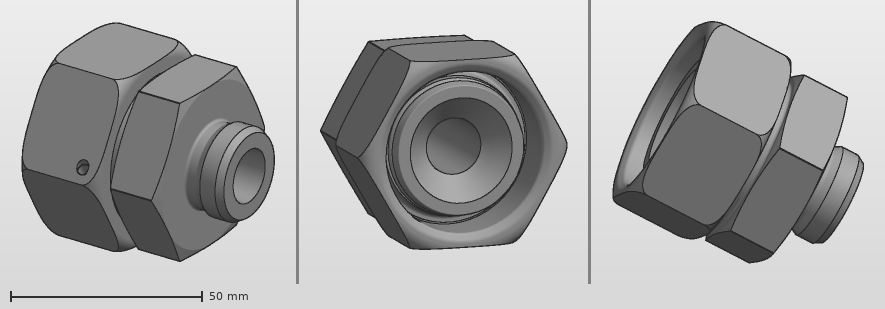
import cadquery as cq
import math


nut_across_corners = 57.75
nut_length = 24.5
nut_end_round = 4.0
mouth_chamfer_radius = 23.6
mouth_chamfer_angle = 60.0
mouth_outer_round = 2.0
mouth_inner_round = 1.2
thread_bore_radius = 43.0 / 2
rear_bore_radius = 42.15 / 2
rear_bore_start = 14.65

wire_hole_x = 19.45
wire_hole_mouth_diameter = 3.5
wire_hole_diameter = 3.2
wire_hole_tilt = 30.0

cone_tip = 4.15
cone_tip_radius = 17.25
cone_half_angle = 12.0
cone_tip_round = 0.3
bore_radius = 15.0 / 2
flare_radius = 14.0
flare_depth = 6.35
shoulder_round = 1.0

groove_start = 7.45
groove_width = 3.5
ring_section = 2.5
ring_outer_radius = 18.4

collar_start = 14.25
collar_radius = 41.95 / 2
collar_round = 0.8
hex_start = 27.15
hex_end = 41.95
hex_across_flats = 46.0
hex_corner_radius = 26.5
hex_chamfer_angle = 15.0

body_end = 54.0
stud_radius = 26.0 / 2
relief_round = 0.8
neck_radius = 23.7 / 2
stud_start = 47.15
stud_chamfer_start = 51.95
stud_chamfer_angle = 30.0

hex_half_angle = math.radians(30)


def slope(degrees):
    return math.tan(math.radians(degrees))


def turned(points, rounds):
    """Revolve an (x, radius) outline about X, rounding the listed corners."""
    outline = cq.Sketch().polygon(points + points[:1])
    for corner, radius in rounds:
        nearest = cq.selectors.NearestToPointSelector((*corner, 0))
        outline = outline.reset().vertices(nearest).fillet(radius)
    return cq.Workplane("XY").placeSketch(outline).revolve(360, (0, 0, 0), (1, 0, 0))


def hex_prism(start, length, across_corners):
    """Hexagonal bar along X with two corners on the Y axis."""
    return cq.Workplane("YZ", origin=(start, 0, 0)).polygon(6, across_corners).extrude(length)


def make_wire_hole():
    """Stepped hole that runs tangentially from a nut flat into the rear bore."""
    across_flats = nut_across_corners * math.cos(hex_half_angle)
    flat_normal = cq.Vector(0, -math.cos(hex_half_angle), math.sin(hex_half_angle))
    hole_angle = hex_half_angle + math.radians(wire_hole_tilt)
    direction = cq.Vector(0, math.cos(hole_angle), -math.sin(hole_angle))
    tangent_normal = cq.Vector(0, -math.sin(hole_angle), -math.cos(hole_angle))
    tangent_point = tangent_normal * rear_bore_radius
    depth = (tangent_point.dot(flat_normal) - across_flats / 2) / direction.dot(flat_normal)
    tangent_point = tangent_point + cq.Vector(wire_hole_x, 0, 0)
    opening = tangent_point - direction * depth
    lead = wire_hole_mouth_diameter
    mouth_depth = wire_hole_mouth_diameter / 2 * slope(wire_hole_tilt)
    bore = cq.Solid.makeCylinder(wire_hole_diameter / 2, depth, opening, direction)
    mouth = cq.Solid.makeCylinder(
        wire_hole_mouth_diameter / 2,
        lead + mouth_depth,
        opening - direction * lead,
        direction,
    )
    return cq.Workplane(bore).union(cq.Workplane(mouth))


def make_nut():
    outer_radius = nut_across_corners / 2
    chamfer_depth = (mouth_chamfer_radius - thread_bore_radius) / slope(mouth_chamfer_angle)
    mouth_edge = (0, mouth_chamfer_radius)
    mouth_end = (chamfer_depth, thread_bore_radius)
    front_corner = (0, outer_radius)
    rear_corner = (nut_length, outer_radius)
    blank = turned(
        [
            mouth_edge,
            front_corner,
            rear_corner,
            (nut_length, rear_bore_radius),
            (rear_bore_start, rear_bore_radius),
            (rear_bore_start, thread_bore_radius),
            mouth_end,
        ],
        [
            (front_corner, nut_end_round),
            (rear_corner, nut_end_round),
            (mouth_edge, mouth_outer_round),
            (mouth_end, mouth_inner_round),
        ],
    )
    return hex_prism(0, nut_length, nut_across_corners).intersect(blank).cut(make_wire_hole())


def cone_radius(x):
    """Outer radius of the sealing cone at station x."""
    return cone_tip_radius + (x - cone_tip) * slope(cone_half_angle)


def make_sealing_end():
    """Sealing cone, O-ring groove and collar, with a core that runs through the hexagon."""
    groove_end = groove_start + groove_width
    groove_floor = ring_outer_radius - ring_section
    tip = (cone_tip, cone_tip_radius)
    cone_end = (collar_start, cone_radius(collar_start))
    collar_end = (hex_start, collar_radius)
    return turned(
        [
            (cone_tip, 0),
            tip,
            (groove_start, cone_radius(groove_start)),
            (groove_start, groove_floor),
            (groove_end, groove_floor),
            (groove_end, cone_radius(groove_end)),
            cone_end,
            (collar_start, collar_radius),
            collar_end,
            (hex_start, collar_radius + 2 * collar_round),
            (hex_end, collar_radius + 2 * collar_round),
            (hex_end, 0),
        ],
        [(tip, cone_tip_round), (cone_end, shoulder_round), (collar_end, collar_round)],
    )


def make_body_hex():
    """Hexagon with conical chamfers on both ends."""
    flat_radius = hex_across_flats / 2
    chamfer = (hex_corner_radius - flat_radius) * slope(hex_chamfer_angle)
    envelope = turned(
        [
            (hex_start, 0),
            (hex_start, flat_radius),
            (hex_start + chamfer, hex_corner_radius),
            (hex_end - chamfer, hex_corner_radius),
            (hex_end, flat_radius),
            (hex_end, 0),
        ],
        [],
    )
    across_corners = hex_across_flats / math.cos(hex_half_angle)
    return hex_prism(hex_start, hex_end - hex_start, across_corners).intersect(envelope)


def make_stud():
    """Necked stud with a chamfer on each side of its full diameter."""
    rise = stud_radius - neck_radius
    neck_start = (hex_end, neck_radius)
    neck_end = (stud_start - rise / slope(stud_chamfer_angle), neck_radius)
    end_radius = stud_radius - (body_end - stud_chamfer_start) * slope(stud_chamfer_angle)
    return turned(
        [
            (hex_start, 0),
            (hex_start, neck_radius + 2 * relief_round),
            (hex_end, neck_radius + 2 * relief_round),
            neck_start,
            neck_end,
            (stud_start, stud_radius),
            (stud_chamfer_start, stud_radius),
            (body_end, end_radius),
            (body_end, 0),
        ],
        [(neck_start, relief_round), (neck_end, relief_round)],
    )


def make_bore():
    """Through bore with a conical flare at the sealing end."""
    return turned(
        [
            (cone_tip, 0),
            (cone_tip, flare_radius),
            (cone_tip + flare_depth, bore_radius),
            (body_end, bore_radius),
            (body_end, 0),
        ],
        [],
    )


def make_body():
    solid_body = make_sealing_end().union(make_body_hex()).union(make_stud())
    return solid_body.cut(make_bore())


def make_o_ring():
    """O-ring centred in the groove and resting on its floor."""
    section_radius = ring_section / 2
    center_radius = ring_outer_radius - section_radius
    section = cq.Workplane("XY").center(groove_start + groove_width / 2, center_radius)
    return section.circle(section_radius).revolve(360, (0, -center_radius, 0), (1, -center_radius, 0))


nut = make_nut()
body = make_body()
o_ring = make_o_ring()

result = cq.Compound.makeCompound([nut.solids().val(), body.solids().val(), o_ring.solids().val()])